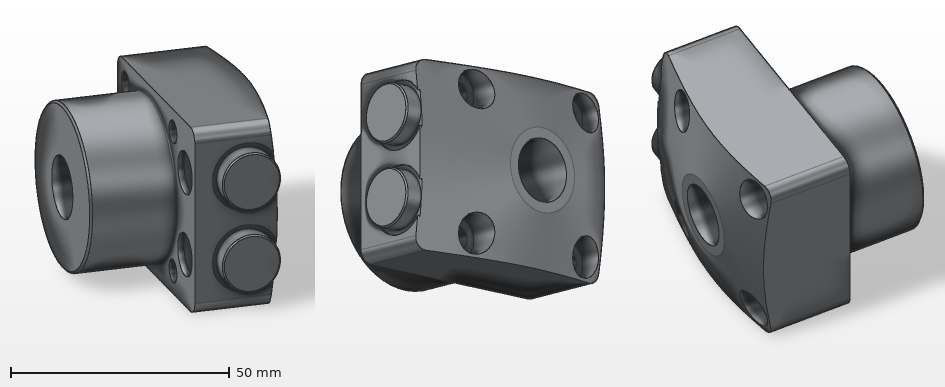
import cadquery as cq
import math


block_length = 55.05
block_height = 45.0
block_depth = 26.0
corner_radius = 3.0
block_left = -block_height / 2
block_right = block_left + block_length
block_center_x = (block_left + block_right) / 2

crown_flat_radius = 10.0
crown_slope = math.radians(15)
crown_radius = 47.05

spigot_diameter = 40.0
spigot_length = 21.0
spigot_chamfer = 0.5
spigot_root_fillet = 0.4
bore_diameter = 15.0

screw_spacing = 34.0
screw_diameter = 5.5
counterbore_diameter = 9.5
counterbore_floor = 16.0

pocket_x = 25.5
pocket_diameter = 10.25
pocket_depth = 1.5

plug_spacing = 20.0
plug_y = 12.5
plug_diameter = 14.05
plug_chamfer = 0.35
overall_length = 58.8
plug_protrusion = overall_length - block_length
spotface_diameter = 16.4
spotface_depth = 0.65

plug_heights = [-plug_spacing / 2, plug_spacing / 2]


def cylinder_along_y(x, z, diameter, y_start, y_end):
    """Cylinder parallel to Y between two Y positions."""
    base = cq.Workplane("XZ", origin=(x, y_start, z)).circle(diameter / 2)
    return base.extrude(y_start - y_end)


def cylinder_along_x(y, z, diameter, x_start, length):
    """Cylinder parallel to X, growing toward +X."""
    return cq.Workplane("YZ", origin=(x_start, y, z)).circle(diameter / 2).extrude(length)


def make_crown():
    """Solid of revolution with a flat center and a conical rim, bounding the back of the block."""
    rim_y = block_depth - (crown_radius - crown_flat_radius) * math.tan(crown_slope)
    profile = (
        cq.Workplane("XY")
        .moveTo(0, 0)
        .lineTo(crown_radius, 0)
        .lineTo(crown_radius, rim_y)
        .lineTo(crown_flat_radius, block_depth)
        .lineTo(0, block_depth)
        .close()
    )
    return profile.revolve(360, (0, 0, 0), (0, 1, 0))


def make_block():
    """Block with rounded edges along Y and a conical back."""
    block = (
        cq.Workplane("XZ", origin=(block_center_x, 0, 0))
        .rect(block_length, block_height)
        .extrude(-block_depth)
        .edges("|Y")
        .fillet(corner_radius)
    )
    return block.intersect(make_crown())


def make_spigot():
    """Round spigot with a chamfered end and a concave fillet where it meets the mounting face."""
    radius = spigot_diameter / 2
    arc_shift = spigot_root_fillet * (1 - math.sqrt(0.5))
    profile = (
        cq.Workplane("XY")
        .moveTo(0, 0)
        .lineTo(0, -spigot_length)
        .lineTo(radius - spigot_chamfer, -spigot_length)
        .lineTo(radius, -spigot_length + spigot_chamfer)
        .lineTo(radius, -spigot_root_fillet)
        .threePointArc(
            (radius + arc_shift, -arc_shift),
            (radius + spigot_root_fillet, 0),
        )
        .close()
    )
    return profile.revolve(360, (0, 0, 0), (0, 1, 0))


def make_housing():
    """Block and spigot in one piece, with the bore, screw holes, pockets and plug spotfaces."""
    housing = make_block().union(make_spigot())
    housing = housing.cut(cylinder_along_y(0, 0, bore_diameter, -spigot_length, block_depth))

    for x in (-screw_spacing / 2, screw_spacing / 2):
        for z in (-screw_spacing / 2, screw_spacing / 2):
            housing = housing.cut(cylinder_along_y(x, z, screw_diameter, 0, block_depth))
            housing = housing.cut(
                cylinder_along_y(x, z, counterbore_diameter, counterbore_floor, block_depth)
            )

    spotface_x = block_right - spotface_depth
    for z in plug_heights:
        housing = housing.cut(cylinder_along_y(pocket_x, z, pocket_diameter, 0, pocket_depth))
        housing = housing.cut(cylinder_along_x(plug_y, z, spotface_diameter, spotface_x, spotface_depth))
    return housing


def make_plug(z):
    """Round plug standing on the floor of its spotface, chamfered at the outer end."""
    plug_start = block_right - spotface_depth
    plug = cylinder_along_x(plug_y, z, plug_diameter, plug_start, spotface_depth + plug_protrusion)
    return plug.faces(">X").edges().chamfer(plug_chamfer)


housing = make_housing()
plugs = [make_plug(z) for z in plug_heights]

result = cq.Compound.makeCompound([housing.val(), *[plug.val() for plug in plugs]])